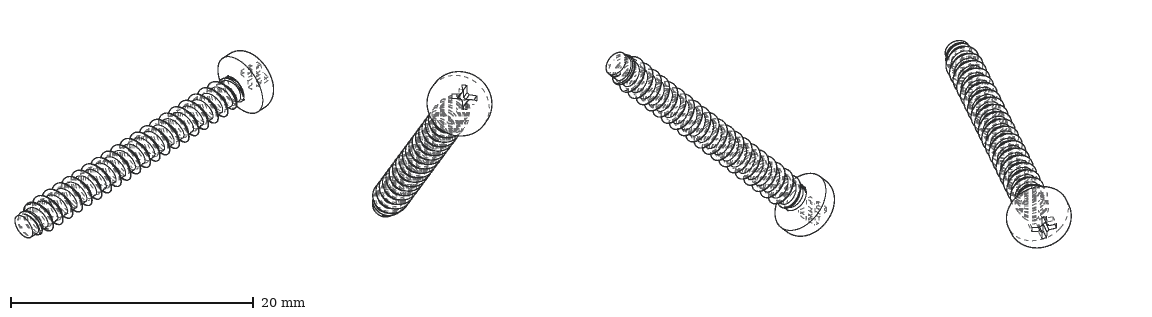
import cadquery as cq
import math

head_radius = 5.3 / 2
head_height = 2.3
rim_height = 0.82
shoulder_radius = 1.05

recess_radius = 1.05
recess_wing_width = 0.4
recess_core_width = 0.82
recess_depth = 1.2

shank_length = 25.0
core_radius = 1.05
neck_radius = 1.19
neck_fillet = 0.5
neck_end = -0.74
neck_taper_length = 0.25

pitch = 1.12
turns = 22
thread_start = -25.32
thread_radius = 1.5
crest_width = 0.06
flank_half_angle = math.radians(15)
flank_foot_radius = 1.13
shoulder_offset = 0.37
root_overlap = 0.1

head_runout_start = -2.3
head_runout_end = -0.6
tip_runout_start = -23.3
tip_runout_end = -24.9
runout_sink = 0.06


def make_head():
    """Pan head: straight rim, rounded shoulder and a dome tangent to the shoulder."""
    shoulder_x = head_radius - shoulder_radius
    crown = head_height - rim_height
    dome_radius = (shoulder_x**2 + crown**2 - shoulder_radius**2) / (2 * (crown - shoulder_radius))
    dome_center_z = head_height - dome_radius
    shoulder_angle = math.atan2(rim_height - dome_center_z, shoulder_x)

    def on_dome(angle):
        return (dome_radius * math.cos(angle), dome_center_z + dome_radius * math.sin(angle))

    def on_shoulder(angle):
        return (
            shoulder_x + shoulder_radius * math.cos(angle),
            rim_height + shoulder_radius * math.sin(angle),
        )

    return (
        cq.Workplane("XZ")
        .lineTo(head_radius, 0)
        .lineTo(head_radius, rim_height)
        .threePointArc(on_shoulder(shoulder_angle / 2), on_shoulder(shoulder_angle))
        .threePointArc(on_dome((shoulder_angle + math.pi / 2) / 2), (0, head_height))
        .close()
        .revolve(360, (0, 0, 0), (0, 1, 0))
    )


def make_recess():
    """Cross recess: two crossed wings and a square core turned by 45 degrees."""
    floor = cq.Workplane("XY").workplane(offset=head_height - recess_depth)
    wing_length = 2 * recess_radius
    wings = floor.rect(wing_length, recess_wing_width).extrude(recess_depth)
    wings = wings.union(floor.rect(recess_wing_width, wing_length).extrude(recess_depth))
    core = floor.rect(recess_core_width, recess_core_width).extrude(recess_depth)
    return wings.union(core.rotate((0, 0, 0), (0, 0, 1), 45))


def make_shank():
    """Core with a thicker neck that is filleted into the head."""
    arc_center_x = neck_radius + neck_fillet
    arc_offset = neck_fillet * math.sqrt(0.5)
    arc_middle = (arc_center_x - arc_offset, -neck_fillet + arc_offset)
    return (
        cq.Workplane("XZ")
        .lineTo(arc_center_x, 0)
        .threePointArc(arc_middle, (neck_radius, -neck_fillet))
        .lineTo(neck_radius, neck_end)
        .lineTo(core_radius, neck_end - neck_taper_length)
        .lineTo(core_radius, -shank_length)
        .lineTo(0, -shank_length)
        .close()
        .revolve(360, (0, 0, 0), (0, 1, 0))
    )


def make_thread_envelope():
    """Spindle whose two cones limit the thread height at the ends and stand clear of it between them."""
    head_end_radius = neck_radius - runout_sink
    tip_end_radius = core_radius - runout_sink
    head_slope = (thread_radius - head_end_radius) / (head_runout_end - head_runout_start)
    tip_slope = (thread_radius - tip_end_radius) / (tip_runout_start - tip_runout_end)
    span = head_runout_end - tip_runout_end
    tip_span = (head_end_radius - tip_end_radius + head_slope * span) / (head_slope + tip_slope)
    widest_point = (tip_end_radius + tip_slope * tip_span, tip_runout_end + tip_span)
    return (
        cq.Workplane("XZ")
        .moveTo(0, head_runout_end)
        .lineTo(head_end_radius, head_runout_end)
        .lineTo(*widest_point)
        .lineTo(tip_end_radius, tip_runout_end)
        .lineTo(0, tip_runout_end)
        .close()
        .revolve(360, (0, 0, 0), (0, 1, 0))
    )


def make_thread():
    """Right-hand thread with a slim crest that rises from a low sloping shoulder on its head side."""
    root_radius = core_radius - root_overlap
    foot_height = flank_foot_radius - core_radius

    def flank_offset(radius):
        return crest_width / 2 + (thread_radius - radius) * math.tan(flank_half_angle)

    foot_offset = flank_offset(flank_foot_radius)
    shoulder_slope = (shoulder_offset - foot_offset) / foot_height
    root_offset = shoulder_offset + root_overlap * shoulder_slope

    section = (
        cq.Workplane("XZ")
        .moveTo(root_radius, thread_start + root_offset)
        .lineTo(flank_foot_radius, thread_start + foot_offset)
        .lineTo(thread_radius, thread_start + crest_width / 2)
        .lineTo(thread_radius, thread_start - crest_width / 2)
        .lineTo(root_radius, thread_start - flank_offset(root_radius))
        .close()
    )
    helix = cq.Wire.makeHelix(pitch, turns * pitch, core_radius, cq.Vector(0, 0, thread_start))
    thread = section.sweep(cq.Workplane(obj=helix), isFrenet=True)
    return thread.intersect(make_thread_envelope())


body = make_head().cut(make_recess()).union(make_shank()).rotate((0, 0, 0), (0, 0, 1), 180)
screw = body.union(make_thread())

result = screw.rotate((0, 0, 0), (1, 0, 0), -90)